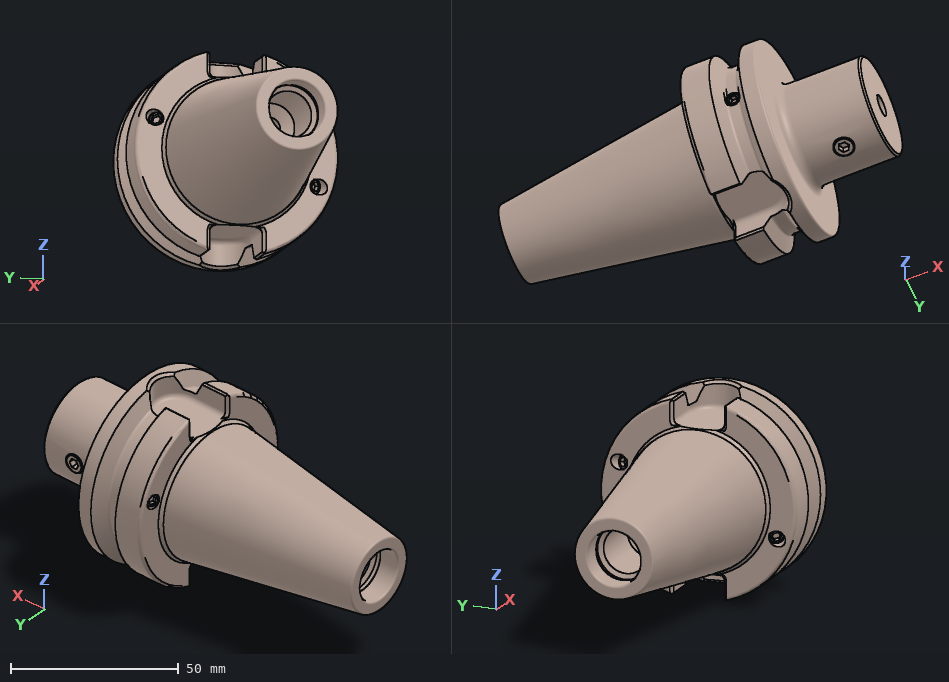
import cadquery as cq
import math

total_length = 119.4

gauge_x = 65.2
gauge_radius = 22.2
taper_ratio = 7 / 24
tip_radius = gauge_radius - gauge_x * taper_ratio / 2
tip_rounding = 0.7
collar_start_x = 66.1
collar_radius = 23.2

flange_x = 67.3
flange_end_x = 92.0
flange_radius = 31.5
flange_front_rounding = 1.1
flange_back_rounding = 0.7
groove_radius = 26.5
groove_center_x = 81.9
groove_floor_width = 4.2
groove_mouth_width = 9.7
groove_mouth_start = groove_center_x - groove_mouth_width / 2
groove_mouth_end = groove_center_x + groove_mouth_width / 2
groove_corner_fillet = 0.8

nose_radius = 16.0
nose_chamfer = 0.6
nose_fillet = 3.0

bore_mouth_rounding = 0.7
counterbore_radius = 8.5
counterbore_depth = 7.0
relief_depth = 0.2
relief_end_x = 9.0
thread_start_x = 9.7
thread_radius = 7.2
thread_depth = 28.7
through_radius = 3.3
drill_face_slope = 30.0
drill_point_length = (thread_radius - through_radius) * math.tan(math.radians(drill_face_slope))

slot_half_width = 8.1
slot_end_center_x = 80.2
slot_floor_z = 22.5
slot_floor_fillet = 1.8
slot_edge_chamfer = 1.0
slot_rim_chamfer = 0.7

plug_diameter = 4.7
plug_length = 4.2
plug_socket_width = 2.6
plug_azimuth = 20.0
face_plug_radius = 27.0
face_plug_tilt = 30.0
face_plug_recess = 1.5
groove_plug_recess = 0.4
nose_screw_diameter = 6.5
nose_screw_length = 6.0
nose_screw_socket_width = 3.0
nose_screw_x = 107.1
screw_rim_chamfer = 0.4
socket_depth_ratio = 0.4
hexagon_half_angle = 30.0
selection_margin = 0.1
cut_clearance = 2.4


def revolve_about_x(profile):
    """Revolve a closed profile, drawn as (x, radius), about the tool axis."""
    return profile.close().revolve(360, (0, 0, 0), (1, 0, 0))


def make_blank():
    """Turned shape of the housing: taper shank, grooved flange and nose."""
    floor_start = groove_center_x - groove_floor_width / 2
    floor_end = groove_center_x + groove_floor_width / 2

    shank = revolve_about_x(
        cq.Workplane("XY")
        .polyline([
            (0, 0),
            (0, tip_radius),
            (gauge_x, gauge_radius),
            (collar_start_x, gauge_radius),
            (flange_x, collar_radius),
            (flange_x, 0),
        ])
    ).faces("<X").edges().fillet(tip_rounding)

    flange = revolve_about_x(
        cq.Workplane("XY")
        .moveTo(flange_x, 0)
        .lineTo(flange_x, flange_radius - flange_front_rounding)
        .radiusArc((flange_x + flange_front_rounding, flange_radius), flange_front_rounding)
        .lineTo(groove_mouth_start, flange_radius)
        .lineTo(floor_start, groove_radius)
        .lineTo(floor_end, groove_radius)
        .lineTo(groove_mouth_end, flange_radius)
        .lineTo(flange_end_x - flange_back_rounding, flange_radius)
        .radiusArc((flange_end_x, flange_radius - flange_back_rounding), flange_back_rounding)
        .lineTo(flange_end_x, 0)
    )
    groove_corners = cq.selectors.BoxSelector(
        (floor_start - selection_margin, -flange_radius, -flange_radius),
        (floor_end + selection_margin, flange_radius, flange_radius),
        boundingbox=True,
    )
    flange = flange.edges(groove_corners).edges("%CIRCLE").fillet(groove_corner_fillet)

    nose = revolve_about_x(
        cq.Workplane("XY")
        .moveTo(flange_end_x, 0)
        .lineTo(flange_end_x, nose_radius + nose_fillet)
        .radiusArc((flange_end_x + nose_fillet, nose_radius), -nose_fillet)
        .lineTo(total_length - nose_chamfer, nose_radius)
        .lineTo(total_length, nose_radius - nose_chamfer)
        .lineTo(total_length, 0)
    )
    return shank.union(flange).union(nose)


def make_bore():
    """Cutter for the stepped central bore, open at both ends."""
    relief_radius = counterbore_radius + relief_depth
    return revolve_about_x(
        cq.Workplane("XY")
        .moveTo(0, 0)
        .lineTo(0, counterbore_radius + bore_mouth_rounding)
        .radiusArc((bore_mouth_rounding, counterbore_radius), -bore_mouth_rounding)
        .lineTo(counterbore_depth, counterbore_radius)
        .lineTo(counterbore_depth + relief_depth, relief_radius)
        .lineTo(relief_end_x - relief_depth, relief_radius)
        .lineTo(relief_end_x, counterbore_radius)
        .lineTo(thread_start_x, thread_radius)
        .lineTo(thread_depth, thread_radius)
        .lineTo(thread_depth + drill_point_length, through_radius)
        .lineTo(total_length, through_radius)
        .lineTo(total_length, 0)
    )


def make_slot():
    """Cutter for the upper drive slot: round inner end, rounded floor edge."""
    start_x = flange_x - cut_clearance
    height = flange_radius - slot_floor_z + cut_clearance
    slot = (
        cq.Workplane("XY", origin=(0, 0, slot_floor_z))
        .moveTo(start_x, -slot_half_width)
        .lineTo(slot_end_center_x, -slot_half_width)
        .radiusArc((slot_end_center_x, slot_half_width), -slot_half_width)
        .lineTo(start_x, slot_half_width)
        .close()
        .extrude(height)
    )
    return slot.faces("<Z").edges("not <X").fillet(slot_floor_fillet)


def slot_section(x, offset):
    """Slot cross-section at the given X, enlarged on all sides by the offset."""
    half_width = slot_half_width + offset
    fillet = slot_floor_fillet + offset
    floor_z = slot_floor_z - offset
    top_z = flange_radius + cut_clearance
    return (
        cq.Workplane("YZ", origin=(x, 0, 0))
        .moveTo(-half_width, top_z)
        .lineTo(-half_width, floor_z + fillet)
        .radiusArc((fillet - half_width, floor_z), -fillet)
        .lineTo(half_width - fillet, floor_z)
        .radiusArc((half_width, floor_z + fillet), -fillet)
        .lineTo(half_width, top_z)
        .close()
        .val()
    )


def make_slot_mouth():
    """Cutter that chamfers the slot walls where they meet the flange face, but not the floor."""
    flare = cq.Solid.makeLoft(
        [slot_section(flange_x, slot_edge_chamfer), slot_section(flange_x + slot_edge_chamfer, 0)],
        True,
    )
    above_floor = cq.Workplane("XY", origin=(flange_x, 0, slot_floor_z)).box(
        2 * flange_radius, 2 * flange_radius, 2 * flange_radius, centered=(True, True, False)
    )
    return above_floor.intersect(cq.Workplane(flare))


def make_slot_rim():
    """Pair of wedge cutters that chamfer the straight slot walls at the outer cylinder."""
    rim_angle = math.asin(slot_half_width / flange_radius)
    rim_z = flange_radius * math.cos(rim_angle)
    wedge = (
        cq.Workplane("YZ", origin=(flange_x, 0, 0))
        .polyline([
            (slot_half_width, rim_z - slot_rim_chamfer),
            (
                slot_half_width + slot_rim_chamfer * math.cos(rim_angle),
                rim_z - slot_rim_chamfer * math.sin(rim_angle),
            ),
            (slot_half_width + slot_rim_chamfer, rim_z + slot_rim_chamfer),
            (slot_half_width, rim_z + slot_rim_chamfer),
        ])
        .close()
        .extrude(groove_center_x - flange_x)
    )
    return wedge.union(wedge.mirror("XZ"))


def chamfer_slot_end(body):
    """Chamfer the round end of the upper slot where it meets the outer cylinder."""
    end_rim = cq.selectors.BoxSelector(
        (groove_mouth_end, -slot_half_width, flange_radius - slot_edge_chamfer),
        (flange_end_x - flange_back_rounding, slot_half_width, flange_radius),
    )
    return body.edges(end_rim).chamfer(slot_edge_chamfer)


def cut_slots(body):
    """Cut the same slot twice, turning the body half a turn after each cut."""
    slot_cutters = (make_slot(), make_slot_mouth(), make_slot_rim())
    for _ in range(2):
        for cutter in slot_cutters:
            body = body.cut(cutter)
        body = chamfer_slot_end(body).rotate((0, 0, 0), (1, 0, 0), 180)
    return body


def make_set_screw(diameter, length, socket_width):
    """Set screw along +Z with its outer end at Z = 0 and a hexagon socket in that end."""
    socket_diameter = socket_width / math.cos(math.radians(hexagon_half_angle))
    return (
        cq.Workplane("XY", origin=(0, 0, -length))
        .circle(diameter / 2)
        .extrude(length)
        .faces(">Z")
        .chamfer(screw_rim_chamfer)
        .faces(">Z")
        .workplane()
        .polygon(6, socket_diameter)
        .cutBlind(-length * socket_depth_ratio)
    )


def make_screw_hole(diameter, depth):
    """Cutter for a blind hole of the given depth below Z = 0."""
    return cq.Workplane("XY", origin=(0, 0, -depth)).circle(diameter / 2).extrude(depth + cut_clearance)


def place(shape, x, radius, azimuth, lean):
    """Put the outer end of a +Z shape at a point around the tool axis.

    The azimuth turns from +Y towards +Z. The shape's outer end points away from the tool axis,
    and leans towards the small end of the taper by the given angle.
    """
    return (
        shape.rotate((0, 0, 0), (0, 1, 0), -lean)
        .translate((x, 0, radius))
        .rotate((0, 0, 0), (1, 0, 0), azimuth - 90)
    )


def place_face(shape, azimuth):
    return place(shape, flange_x, face_plug_radius, azimuth, 90 - face_plug_tilt)


def place_groove(shape):
    return place(shape, groove_center_x, groove_radius, plug_azimuth + 180, 0)


def place_nose(shape, azimuth):
    return place(shape, nose_screw_x, nose_radius, azimuth, 0)


face_plug_azimuths = (plug_azimuth, plug_azimuth + 180)
nose_screw_azimuths = (0, -90)


def make_housing():
    housing = cut_slots(make_blank()).cut(make_bore())

    face_hole = make_screw_hole(plug_diameter, face_plug_recess + plug_length)
    for azimuth in face_plug_azimuths:
        housing = housing.cut(place_face(face_hole, azimuth))

    groove_hole = make_screw_hole(plug_diameter, groove_plug_recess + plug_length)
    housing = housing.cut(place_groove(groove_hole))

    nose_hole = make_screw_hole(nose_screw_diameter, nose_screw_length)
    for azimuth in nose_screw_azimuths:
        housing = housing.cut(place_nose(nose_hole, azimuth))
    return housing


def make_face_plug(azimuth):
    plug = make_set_screw(plug_diameter, plug_length, plug_socket_width)
    plug = plug.rotate((0, 0, 0), (0, 0, 1), hexagon_half_angle)
    return place_face(plug.translate((0, 0, -face_plug_recess)), azimuth)


def make_groove_plug():
    plug = make_set_screw(plug_diameter, plug_length, plug_socket_width)
    return place_groove(plug.translate((0, 0, -groove_plug_recess)))


def make_nose_screw(azimuth):
    screw = make_set_screw(nose_screw_diameter, nose_screw_length, nose_screw_socket_width)
    return place_nose(screw, azimuth)


housing = make_housing()
face_plugs = [make_face_plug(azimuth) for azimuth in face_plug_azimuths]
groove_plug = make_groove_plug()
nose_screws = [make_nose_screw(azimuth) for azimuth in nose_screw_azimuths]

result = cq.Compound.makeCompound([
    housing.val(),
    *[plug.val() for plug in face_plugs],
    groove_plug.val(),
    *[screw.val() for screw in nose_screws],
])